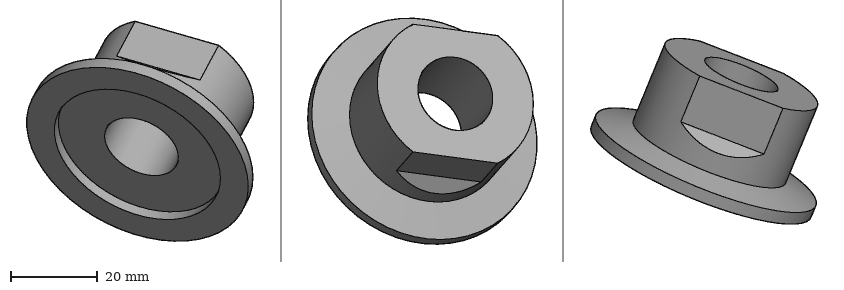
import cadquery as cq

flange_diameter = 55.0
rim_thickness = 3.0
cone_height = 2.2
recess_diameter = 41.2
recess_depth = 2.6

hub_diameter = 38.1
total_length = 25.0
bore_diameter = 18.25

across_flats = 32.0
flat_length = 11.75

flange_radius = flange_diameter / 2
hub_radius = hub_diameter / 2
front_y = -total_length / 2
back_y = total_length / 2


def revolved_body():
    """Flange rim, conical back and hub as one turned profile."""
    rim_back_y = front_y + rim_thickness
    profile = (
        cq.Workplane("XY")
        .moveTo(0, front_y)
        .lineTo(flange_radius, front_y)
        .lineTo(flange_radius, rim_back_y)
        .lineTo(hub_radius, rim_back_y + cone_height)
        .lineTo(hub_radius, back_y)
        .lineTo(0, back_y)
        .close()
    )
    return profile.revolve(360, (0, 0, 0), (0, 1, 0))


def front_cylinder(diameter, depth):
    """Cylinder running from the sealing face toward +Y."""
    return cq.Workplane("XZ", origin=(0, front_y, 0)).circle(diameter / 2).extrude(-depth)


def flat_cutter(side):
    """Cutter for one flat with a 45 degree run-out; side is +1 or -1 along Z."""
    flat_z = across_flats / 2
    flat_end_y = back_y - flat_length
    flat_depth = hub_radius - flat_z
    return (
        cq.Workplane("YZ")
        .moveTo(back_y, side * flat_z)
        .lineTo(flat_end_y, side * flat_z)
        .lineTo(flat_end_y - flat_depth, side * hub_radius)
        .lineTo(back_y, side * hub_radius)
        .close()
        .extrude(hub_radius, both=True)
    )


result = revolved_body()
result = result.cut(front_cylinder(recess_diameter, recess_depth))
result = result.cut(front_cylinder(bore_diameter, total_length))
for side in (1, -1):
    result = result.cut(flat_cutter(side))